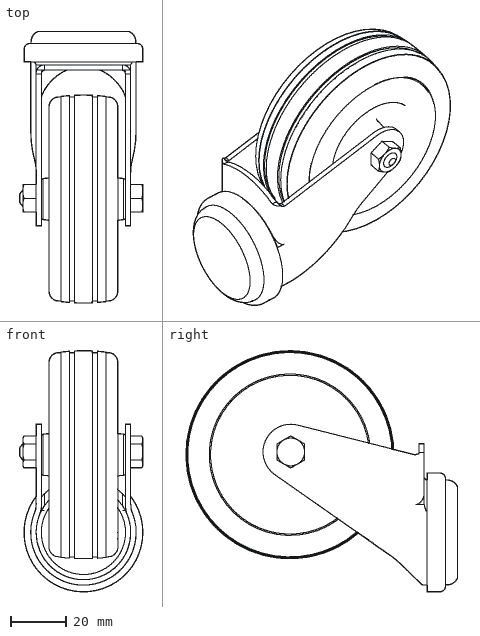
import cadquery as cq
import math


overall_length = 98.0
clearance = 1.0

wheel_radius = 37.5
wheel_half_width = 12.4
crown_edge_radius = 36.4
groove_inner_x = 3.2
groove_outer_x = 5.0
groove_floor_radius = 36.8
tread_edge_x = 8.1
shoulder_band_x = 8.7
shoulder_band_radius = 36.8
shoulder_start_x = 9.8
shoulder_start_radius = 36.7
shoulder_arc_radius = 3.7
shoulder_end_radius = 33.2
tyre_inner_radius = 31.1
tyre_rounding = 2.0
rim_outer_radius = 27.5
rim_inner_radius = 20.0
rim_rounding = 1.1
recess_mouth_radius = rim_inner_radius - rim_rounding
recess_wall_radius = 18.5
recess_floor_outer_radius = 15.7
recess_floor_inner_radius = 11.8
web_half_thickness = 1.5
hub_base_radius = 8.5
hub_radius = 7.4
hub_chamfer_length = 0.6
hub_chamfer_drop = 0.3

sheet = 2.0
fork_half_width = 17.05
hub_half_width = fork_half_width - sheet
axle_y = 0.3
axle_z = 1.0
tip_radius = 10.0
lower_edge_angle = 35.0
cap_axis_z = -28.0
cap_back_y = overall_length - wheel_radius
shell_radius = 19.0
shell_blend_radius = 9.5
back_plate_y = cap_back_y - 12.1
corner_radius = 3.0
arch_radius = 32.0
plate_corner_y = 45.1
plate_corner_z = 0.0
corner_top_z = 0.4
lower_bend_y = 38.7
lower_end_y = 47.7
joggle_radius = 19.8
floor_thickness = 1.1
floor_fillet = 0.8
dish_depth = 2.0
dish_outer_radius = 15.2
dish_inner_radius = 11.7
dish_floor_radius = 10.4

cap_radius = 21.5
cap_front_y = cap_back_y - 11.0
flange_back_y = cap_back_y - 4.3
flange_fillet = 2.2
dome_base_y = cap_back_y - 3.8
dome_back_radius = 16.4
dome_arc_radius = 4.1

bolt_radius = 3.0
bolt_tip_radius = 1.5
bolt_end_x = 23.0
nut_end_x = 21.9
head_end_x = 21.5
hex_flats = 10.0
hex_chamfer_angle = 30.0

beyond_tip_y = axle_y - tip_radius - clearance
shell_floor_y = cap_front_y - floor_thickness
lower_edge_axis_y = (
    axle_y
    + (axle_z - cap_axis_z) / math.tan(math.radians(lower_edge_angle))
    - tip_radius / math.sin(math.radians(lower_edge_angle))
)


def along_x(start_x, end_x, y, z, radius):
    """Cylinder parallel to X."""
    plane = cq.Workplane("YZ", origin=(start_x, y, z))
    return plane.circle(radius).extrude(end_x - start_x)


def crowned_tread():
    """Solid of revolution bounded by the crown arc across the whole tread."""
    profile = (
        cq.Workplane("XY")
        .moveTo(-hub_half_width, 0)
        .lineTo(-hub_half_width, crown_edge_radius)
        .lineTo(-wheel_half_width, crown_edge_radius)
        .threePointArc((0, wheel_radius), (wheel_half_width, crown_edge_radius))
        .lineTo(hub_half_width, crown_edge_radius)
        .lineTo(hub_half_width, 0)
        .close()
    )
    return profile.revolve(360, (0, 0, 0), (1, 0, 0))


def wheel_half():
    """Half of the wheel, on the +X side of its middle plane, its tread not yet crowned."""
    blank_radius = wheel_radius + clearance
    hub_fillet = recess_floor_inner_radius - hub_base_radius
    recess_fillet = recess_wall_radius - recess_floor_outer_radius
    profile = (
        cq.Workplane("XY")
        .lineTo(0, blank_radius)
        .lineTo(groove_inner_x, blank_radius)
        .lineTo(groove_inner_x, groove_floor_radius)
        .lineTo(groove_outer_x, groove_floor_radius)
        .lineTo(groove_outer_x, blank_radius)
        .lineTo(tread_edge_x, blank_radius)
        .lineTo(tread_edge_x, shoulder_band_radius)
        .lineTo(shoulder_band_x, shoulder_band_radius)
        .lineTo(shoulder_start_x, shoulder_start_radius)
        .radiusArc((wheel_half_width, shoulder_end_radius), shoulder_arc_radius)
        .lineTo(wheel_half_width, tyre_inner_radius)
        .radiusArc((wheel_half_width - tyre_rounding, tyre_inner_radius - tyre_rounding), tyre_rounding)
        .lineTo(wheel_half_width - tyre_rounding, rim_outer_radius + rim_rounding)
        .lineTo(wheel_half_width - rim_rounding, rim_outer_radius + rim_rounding)
        .radiusArc((wheel_half_width, rim_outer_radius), rim_rounding)
        .lineTo(wheel_half_width, rim_inner_radius)
        .radiusArc((wheel_half_width - rim_rounding, recess_mouth_radius), rim_rounding)
        .lineTo(web_half_thickness + recess_fillet, recess_wall_radius)
        .radiusArc((web_half_thickness, recess_floor_outer_radius), -recess_fillet)
        .lineTo(web_half_thickness, recess_floor_inner_radius)
        .radiusArc((web_half_thickness + hub_fillet, hub_base_radius), -hub_fillet)
        .lineTo(hub_half_width - hub_chamfer_length, hub_radius)
        .lineTo(hub_half_width, hub_radius - hub_chamfer_drop)
        .lineTo(hub_half_width, 0)
        .close()
    )
    return profile.revolve(360, (0, 0, 0), (1, 0, 0))


def make_wheel():
    """Tyre, rim and hub in one piece, bored for the slightly offset axle bolt."""
    half = wheel_half()
    bore = along_x(-hub_half_width, hub_half_width, axle_y, axle_z, bolt_radius)
    return half.union(half.mirror("YZ")).intersect(crowned_tread()).cut(bore)


def fork_section(inset, front_y, rear_y):
    """Side plates running into a round shell, filled, drawn inward by `inset`."""
    half_width = fork_half_width - inset
    radius = shell_radius - inset
    blend = shell_blend_radius + inset
    blend_rise = math.sqrt((radius + blend)**2 - (half_width + blend)**2)
    on_circle = radius / (radius + blend)
    touch_x = (half_width + blend) * on_circle
    touch_z = cap_axis_z + blend_rise * on_circle
    straight_z = cap_axis_z + blend_rise
    top_z = axle_z + tip_radius + clearance
    section = (
        cq.Workplane("XZ", origin=(0, rear_y, 0))
        .moveTo(-half_width, top_z)
        .lineTo(half_width, top_z)
        .lineTo(half_width, straight_z)
        .radiusArc((touch_x, touch_z), -blend)
        .threePointArc((0, cap_axis_z - radius), (-touch_x, touch_z))
        .radiusArc((-half_width, straight_z), -blend)
        .close()
    )
    return section.extrude(rear_y - front_y)


def raised_disc():
    """Round face of the fork behind the back plate, flaring into the plate within the fork's outline."""
    plate_front_y = back_plate_y - corner_radius
    flare_length = cap_front_y - back_plate_y
    profile = (
        cq.Workplane("XY")
        .moveTo(0, plate_front_y)
        .lineTo(joggle_radius, plate_front_y)
        .lineTo(joggle_radius, back_plate_y)
        .radiusArc((shell_radius, cap_front_y), flare_length)
        .lineTo(0, cap_front_y)
        .close()
    )
    disc = profile.revolve(360, (0, 0, 0), (0, 1, 0)).translate((0, 0, cap_axis_z))
    return disc.intersect(fork_section(0, plate_front_y, cap_front_y))


def side_outline():
    """Side shape of the fork, extruded across its width."""
    top_tilt = math.atan2(axle_z - plate_corner_z, plate_corner_y - axle_y)
    reach = math.hypot(plate_corner_y - axle_y, axle_z - plate_corner_z)
    top_angle = top_tilt + math.asin(tip_radius / reach)
    low_angle = math.radians(lower_edge_angle)
    top_touch = (axle_y + tip_radius * math.sin(top_angle), axle_z + tip_radius * math.cos(top_angle))
    low_touch = (axle_y - tip_radius * math.sin(low_angle), axle_z - tip_radius * math.cos(low_angle))
    tip_middle = (low_angle - top_angle) / 2
    far_point = (axle_y - tip_radius * math.cos(tip_middle), axle_z + tip_radius * math.sin(tip_middle))
    plate_front_y = back_plate_y - sheet
    arch_top_z = cap_axis_z + arch_radius
    shell_bottom_z = cap_axis_z - shell_radius
    outline = (
        cq.Workplane("YZ", origin=(-shell_radius, 0, 0))
        .moveTo(*top_touch)
        .threePointArc(far_point, low_touch)
        .lineTo(lower_edge_axis_y, cap_axis_z)
        .lineTo(lower_edge_axis_y, shell_bottom_z)
        .lineTo(cap_front_y, shell_bottom_z)
        .lineTo(cap_front_y, arch_top_z)
        .lineTo(plate_front_y, arch_top_z)
        .lineTo(plate_front_y, corner_top_z)
        .lineTo(plate_corner_y, plate_corner_z)
        .close()
    )
    return outline.extrude(2 * shell_radius)


def above_arch():
    """Material above the arched top edge of the back plate."""
    arch_end_x = fork_half_width - corner_radius
    arch_end_z = cap_axis_z + math.sqrt(arch_radius**2 - arch_end_x**2)
    arch_top_z = cap_axis_z + arch_radius
    top_z = arch_top_z + tip_radius
    cutter = (
        cq.Workplane("XZ", origin=(0, cap_front_y, 0))
        .moveTo(-fork_half_width, top_z)
        .lineTo(-fork_half_width, arch_end_z)
        .lineTo(-arch_end_x, arch_end_z)
        .threePointArc((0, arch_top_z), (arch_end_x, arch_end_z))
        .lineTo(fork_half_width, arch_end_z)
        .lineTo(fork_half_width, top_z)
        .close()
    )
    return cutter.extrude(cap_front_y - plate_corner_y)


def shell_cavity():
    """Round hollow of the shell, with a rounded floor edge and a dished floor."""
    inner_radius = shell_radius - sheet
    dish_angle = math.atan2(dish_depth, dish_outer_radius - dish_inner_radius)
    dish_width = dish_inner_radius - dish_floor_radius
    dish_fillet = dish_width / math.sin(dish_angle)
    dish_floor_y = shell_floor_y + dish_depth + dish_width * math.tan(dish_angle / 2)
    profile = (
        cq.Workplane("XY")
        .moveTo(0, beyond_tip_y)
        .lineTo(inner_radius, beyond_tip_y)
        .lineTo(inner_radius, shell_floor_y - floor_fillet)
        .radiusArc((inner_radius - floor_fillet, shell_floor_y), -floor_fillet)
        .lineTo(dish_outer_radius, shell_floor_y)
        .lineTo(dish_inner_radius, shell_floor_y + dish_depth)
        .radiusArc((dish_floor_radius, dish_floor_y), -dish_fillet)
        .lineTo(0, dish_floor_y)
        .close()
    )
    return profile.revolve(360, (0, 0, 0), (0, 1, 0)).translate((0, 0, cap_axis_z))


def joggle():
    """Slope between the back plate and the shell floor, above the shell walls."""
    plate_front_y = back_plate_y - sheet
    inner_radius = shell_radius - sheet
    inner_half_width = fork_half_width - sheet
    slope = (
        cq.Workplane("XY")
        .moveTo(0, plate_front_y)
        .lineTo(joggle_radius, plate_front_y)
        .lineTo(inner_radius, shell_floor_y)
        .lineTo(0, shell_floor_y)
        .close()
        .revolve(360, (0, 0, 0), (0, 1, 0))
        .translate((0, 0, cap_axis_z))
    )
    lowest_z = cap_axis_z + math.sqrt(inner_radius**2 - inner_half_width**2)
    above = cq.Workplane("XZ", origin=(0, shell_floor_y, lowest_z + joggle_radius))
    above = above.rect(2 * inner_half_width, 2 * joggle_radius).extrude(sheet)
    return slope.intersect(above)


def lower_edge_y(drop):
    """Y of the lower fork edge at a given drop below the cap axis."""
    slope = math.tan(math.radians(lower_edge_angle))
    bend_drop = (lower_bend_y - lower_edge_axis_y) * slope
    if drop <= bend_drop:
        return lower_edge_axis_y + drop / slope
    share = (drop - bend_drop) / (shell_radius - bend_drop)
    return lower_bend_y + share * (lower_end_y - lower_bend_y)


def below_shell_edge():
    """Material in front of the shell's lower edge, whose face stands square to the rolled sheet."""
    steps = 9
    angles = [math.pi / 2 * step / steps for step in range(-steps, steps + 1)]

    def edge_curve(radius):
        return cq.Edge.makeSpline([
            cq.Vector(
                radius * math.sin(angle),
                lower_edge_y(shell_radius * math.cos(angle)),
                cap_axis_z - radius * math.cos(angle),
            )
            for angle in angles
        ])

    inner_curve = edge_curve(shell_radius - 2 * sheet)
    outer_curve = edge_curve(shell_radius + sheet)
    edge_face = cq.Face.makeRuledSurface(inner_curve, outer_curve)
    forward = cq.Vector(0, -overall_length, 0)
    return cq.Workplane(cq.Solid.extrudeLinear(edge_face, forward))


def sheet_fork():
    """Bent sheet: two side plates, back plate, raised disc and the round shell below."""
    outside = fork_section(0, beyond_tip_y, back_plate_y).edges("|Z and >Y").fillet(corner_radius)
    inside = fork_section(sheet, beyond_tip_y, back_plate_y - sheet)
    inside = inside.edges("|Z and >Y").fillet(corner_radius - sheet)
    fork = outside.union(raised_disc()).cut(inside).cut(above_arch())
    return fork.intersect(side_outline()).cut(joggle()).cut(below_shell_edge())


def cap():
    """Flanged, domed cap behind the fork."""
    dome_depth = cap_back_y - dome_base_y
    dome_radius = dome_back_radius + dome_arc_radius - math.sqrt(dome_arc_radius**2 - dome_depth**2)
    profile = (
        cq.Workplane("XY")
        .moveTo(0, cap_front_y)
        .lineTo(cap_radius, cap_front_y)
        .lineTo(cap_radius, flange_back_y - flange_fillet)
        .radiusArc((cap_radius - flange_fillet, flange_back_y), -flange_fillet)
        .lineTo(dome_radius, flange_back_y)
        .lineTo(dome_radius, dome_base_y)
        .radiusArc((dome_back_radius, cap_back_y), -dome_arc_radius)
        .lineTo(0, cap_back_y)
        .close()
    )
    return profile.revolve(360, (0, 0, 0), (0, 1, 0)).translate((0, 0, cap_axis_z))


def hexagon(end_x):
    """Hexagon of a nut or bolt head outside a side plate, with its outer corners chamfered."""
    height = end_x - fork_half_width
    hex_corner = hex_flats / math.sqrt(3)
    corner_drop = (hex_corner - hex_flats / 2) * math.tan(math.radians(hex_chamfer_angle))
    prism = cq.Workplane("YZ").polygon(6, 2 * hex_corner).extrude(height)
    prism = prism.rotate((0, 0, 0), (1, 0, 0), 90)
    turned = (
        cq.Workplane("XY")
        .lineTo(0, hex_corner)
        .lineTo(height - corner_drop, hex_corner)
        .lineTo(height, hex_flats / 2)
        .lineTo(height, 0)
        .close()
        .revolve(360, (0, 0, 0), (1, 0, 0))
    )
    return prism.intersect(turned).translate((fork_half_width, axle_y, axle_z))


def axle_bolt():
    """Bolt through both plates, its nut on the -X side and its head on the +X side."""
    shank = along_x(-bolt_end_x, fork_half_width, axle_y, axle_z, bolt_radius)
    shank = shank.faces("<X").chamfer(bolt_end_x - nut_end_x, bolt_radius - bolt_tip_radius)
    return shank.union(hexagon(nut_end_x).mirror("YZ")).union(hexagon(head_end_x))


def make_fork():
    """Fork, cap and axle bolt in one piece; the shell hollow reaches into the cap."""
    return sheet_fork().union(cap()).cut(shell_cavity()).union(axle_bolt())


wheel = make_wheel()
fork = make_fork()
result = cq.Compound.makeCompound([fork.solids().val(), wheel.solids().val()])